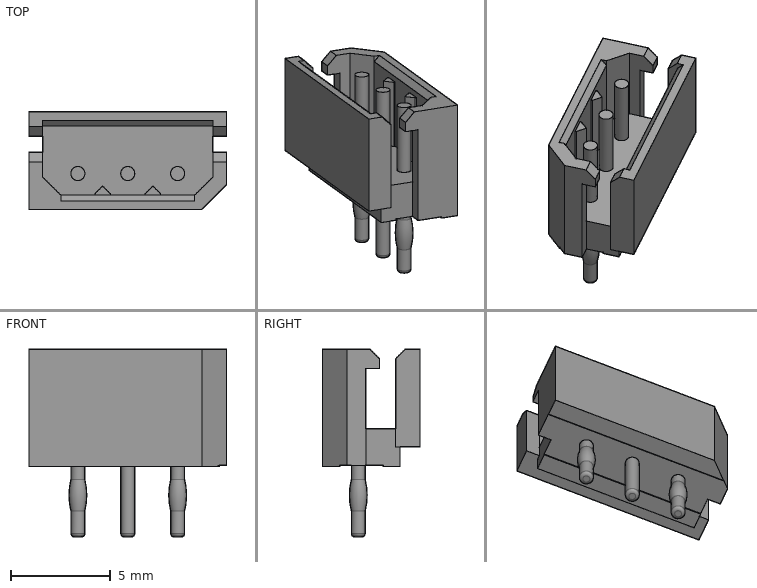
import cadquery as cq

width = 9.9
depth = 4.9
height = 5.88
half_width = width / 2
corner_chamfer = 1.25

cavity_half_width = 4.26
floor_z = 1.9
cavity_front_y = 0.72
cavity_back_y = 4.18
cavity_corner_y = 1.62
cavity_front_half_width = 3.35
lead_in = 0.29

end_wall_y = 2.18
hook_tip_y = 2.87
hook_height = 0.98
rear_wall_front_y = 3.66
rear_wall_bottom_z = 0.99
slot_chamfer = 0.49

base_back_y = 3.89
channel_front_y = 0.88
channel_back_y = 3.05
channel_height = 0.07

rib_spacing = 2.51
rib_half_width = 0.39
rib_projection = 0.46
rib_side = 0.07
rib_top_z = 5.31

pin_pitch = 2.49
pin_y = 1.8
pin_radius = 0.7 / 2
pin_top_z = 5.35
pin_bottom_z = -3.51
tip_round = 0.18
bulge_radius = 0.9 / 2
bulge_top_z = -0.63
bulge_bottom_z = -2.22


def side_prism(points, half_length):
    """Extrude a (Y, Z) outline along X, symmetric about X = 0."""
    return cq.Workplane("YZ").polyline(points).close().extrude(half_length, both=True)


def make_housing():
    front_part = side_prism(
        [
            (0, 0),
            (end_wall_y, 0),
            (end_wall_y, height - hook_height),
            (hook_tip_y, height - hook_height),
            (hook_tip_y, height - slot_chamfer),
            (hook_tip_y - slot_chamfer, height),
            (0, height),
        ],
        half_width,
    )
    rear_wall = side_prism(
        [
            (rear_wall_front_y, rear_wall_bottom_z),
            (depth, rear_wall_bottom_z),
            (depth, height),
            (rear_wall_front_y + slot_chamfer, height),
            (rear_wall_front_y, height - slot_chamfer),
        ],
        half_width,
    )
    base = side_prism(
        [(0, 0), (base_back_y, 0), (base_back_y, floor_z), (0, floor_z)],
        cavity_half_width,
    )
    corner = (
        cq.Workplane("XY")
        .moveTo(half_width, 0)
        .lineTo(half_width, corner_chamfer)
        .lineTo(half_width - corner_chamfer, 0)
        .close()
        .extrude(height)
    )
    return front_part.union(rear_wall).union(base).cut(corner)


def make_cavity():
    pocket = (
        cq.Workplane("XY")
        .workplane(offset=floor_z)
        .polyline(
            [
                (-cavity_front_half_width, cavity_front_y),
                (cavity_front_half_width, cavity_front_y),
                (cavity_half_width, cavity_corner_y),
                (cavity_half_width, cavity_back_y),
                (-cavity_half_width, cavity_back_y),
                (-cavity_half_width, cavity_corner_y),
            ]
        )
        .close()
        .extrude(height - floor_z)
    )
    front_lead_in = side_prism(
        [
            (cavity_front_y - lead_in, height),
            (cavity_front_y, height),
            (cavity_front_y, height - lead_in),
        ],
        cavity_front_half_width,
    )
    back_lead_in = side_prism(
        [
            (cavity_back_y + lead_in, height),
            (cavity_back_y, height),
            (cavity_back_y, height - lead_in),
        ],
        cavity_half_width,
    )
    return pocket.union(front_lead_in).union(back_lead_in)


def make_channel():
    return side_prism(
        [
            (channel_front_y, 0),
            (channel_back_y, 0),
            (channel_back_y, channel_height),
            (channel_front_y, channel_height),
        ],
        half_width,
    )


def make_rib(x):
    return (
        cq.Workplane("XY")
        .workplane(offset=floor_z)
        .polyline(
            [
                (x - rib_half_width, cavity_front_y),
                (x + rib_half_width, cavity_front_y),
                (x + rib_half_width, cavity_front_y + rib_side),
                (x, cavity_front_y + rib_projection),
                (x - rib_half_width, cavity_front_y + rib_side),
            ]
        )
        .close()
        .extrude(rib_top_z - floor_z)
    )


def make_pin(x, has_bulge):
    profile = (
        cq.Workplane("XZ")
        .moveTo(0, pin_bottom_z)
        .lineTo(pin_radius - tip_round, pin_bottom_z)
        .radiusArc((pin_radius, pin_bottom_z + tip_round), -tip_round)
    )
    if has_bulge:
        bulge_middle_z = (bulge_top_z + bulge_bottom_z) / 2
        profile = profile.lineTo(pin_radius, bulge_bottom_z).threePointArc(
            (bulge_radius, bulge_middle_z), (pin_radius, bulge_top_z)
        )
    profile = profile.lineTo(pin_radius, pin_top_z).lineTo(0, pin_top_z).close()
    return profile.revolve(360, (0, 0, 0), (0, 1, 0)).translate((x, pin_y, 0))


result = make_housing().cut(make_cavity()).cut(make_channel())
for side in (-1, 1):
    result = result.union(make_rib(side * rib_spacing / 2))
for position in (-1, 0, 1):
    result = result.union(make_pin(position * pin_pitch, has_bulge=position != 0))